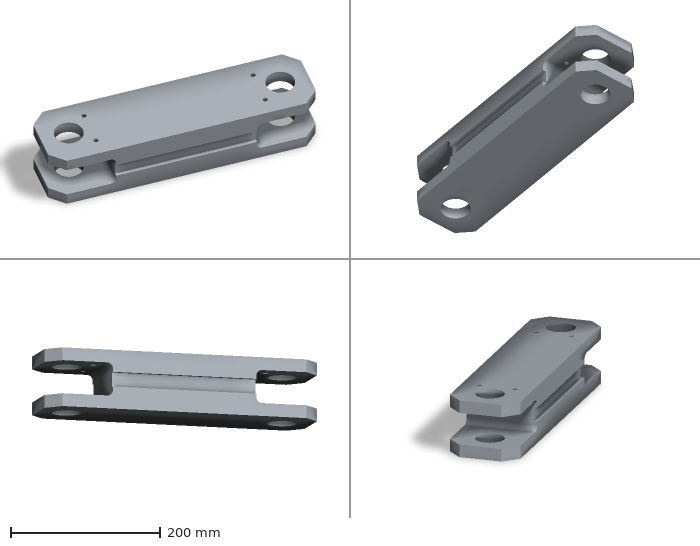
import cadquery as cq

width = 100.0
length = 380.0
height = 80.0
corner_chamfer = 20.0

plate_thickness = 17.5
web_length = 200.0
gap_height = height - 2 * plate_thickness
gap_depth = (length - web_length) / 2
gap_corner_radius = 8.0

groove_height = 20.0
groove_depth = 5.0

pin_diameter = 40.0
pin_edge_distance = 40.0
pin_y = length / 2 - pin_edge_distance

small_hole_diameter = 7.0
small_hole_spacing_x = 50.0
small_hole_spacing_y = 240.0


def make_body():
    """Rectangular block with its four upright corners chamfered."""
    return cq.Workplane("XY").box(width, length, height).edges("|Z").chamfer(corner_chamfer)


def make_fork_gap(end):
    """Slot open at one end (+1 or -1 along Y), with rounded inner corners."""
    inner_face = "<Y" if end > 0 else ">Y"
    gap = cq.Workplane("XY").box(width, gap_depth, gap_height)
    gap = gap.faces(inner_face).edges("|X").fillet(gap_corner_radius)
    return gap.translate((0, end * (length - gap_depth) / 2, 0))


def make_side_groove(side):
    """Rectangular groove along the web on one side (+1 or -1 along X)."""
    groove = cq.Workplane("XY").box(groove_depth, web_length, groove_height)
    return groove.translate((side * (width - groove_depth) / 2, 0, 0))


def make_pin_holes():
    """Cutters for the large holes, running through the full height."""
    plane = cq.Workplane("XY").workplane(offset=-height / 2)
    return plane.pushPoints([(0, -pin_y), (0, pin_y)]).circle(pin_diameter / 2).extrude(height)


def make_small_holes():
    """Cutters for the small holes, running through the upper plate only."""
    plane = cq.Workplane("XY").workplane(offset=height / 2 - plate_thickness)
    points = plane.rarray(small_hole_spacing_x, small_hole_spacing_y, 2, 2)
    return points.circle(small_hole_diameter / 2).extrude(plate_thickness)


result = make_body()
for direction in (-1, 1):
    result = result.cut(make_fork_gap(direction))
    result = result.cut(make_side_groove(direction))
result = result.cut(make_pin_holes())
result = result.cut(make_small_holes())